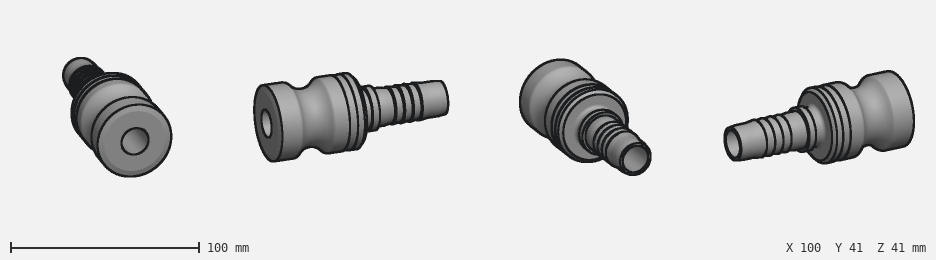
import cadquery as cq
import math

length = 100.0
bore_diameter = 15.0

tip_radius = 18.0 / 2
tail_radius = 19.0 / 2
barb_radius = 20.5 / 2
tip_taper_end = 4.0
first_barb_start = 10.0
barb_pitch = 5.0
barb_count = 4
barb_back_length = 0.5
collar_start = 40.0
collar_end = 44.0
collar_radius = 24.0 / 2

neck_radius = 21.5 / 2
neck_fillet = 2.0

head_start = 50.0
head_radius = 41.0 / 2
head_chamfer = 2.0
band_start = 55.8
band_end = 60.4
band_radius = 40.5 / 2
end_chamfer_length = 1.0
end_chamfer_depth = 3.5

groove_center = 78.0
waist_radius = 15.7
groove_arc_radius = 11.0
shoulder_radius = 2.4


def add_barbs(profile):
    """Each barb rises in a cone toward the head, then drops steeply."""
    for i in range(barb_count):
        peak = first_barb_start + (i + 1) * barb_pitch
        profile = profile.lineTo(peak, barb_radius)
        profile = profile.lineTo(peak + barb_back_length, tail_radius)
    land_start = first_barb_start + (barb_count + 1) * barb_pitch
    return profile.lineTo(land_start, barb_radius)


def add_cam_groove(profile):
    """Concave arc tangent to a convex shoulder arc on each side."""
    arc_center_r = waist_radius + groove_arc_radius
    shoulder_center_r = head_radius - shoulder_radius
    center_distance = groove_arc_radius + shoulder_radius
    center_rise = arc_center_r - shoulder_center_r
    half_width = math.sqrt(center_distance**2 - center_rise**2)
    angle = math.asin(half_width / center_distance)

    tangent_x = groove_arc_radius * math.sin(angle)
    tangent_r = arc_center_r - groove_arc_radius * math.cos(angle)
    shoulder_mid_x = half_width - shoulder_radius * math.sin(angle / 2)
    shoulder_mid_r = shoulder_center_r + shoulder_radius * math.cos(angle / 2)

    return (
        profile.lineTo(groove_center - half_width, head_radius)
        .threePointArc(
            (groove_center - shoulder_mid_x, shoulder_mid_r),
            (groove_center - tangent_x, tangent_r),
        )
        .threePointArc((groove_center, waist_radius), (groove_center + tangent_x, tangent_r))
        .threePointArc(
            (groove_center + shoulder_mid_x, shoulder_mid_r),
            (groove_center + half_width, head_radius),
        )
    )


outline = (
    cq.Workplane("XY")
    .moveTo(0, 0)
    .lineTo(0, tip_radius)
    .lineTo(tip_taper_end, tail_radius)
    .lineTo(first_barb_start, tail_radius)
)
outline = add_barbs(outline)

outline = (
    outline.lineTo(collar_start, barb_radius)
    .lineTo(collar_start, collar_radius)
    .lineTo(collar_end, collar_radius)
    .lineTo(collar_end, neck_radius)
    .lineTo(head_start - neck_fillet, neck_radius)
    .radiusArc((head_start, neck_radius + neck_fillet), -neck_fillet)
)

outline = (
    outline.lineTo(head_start, head_radius - head_chamfer)
    .lineTo(head_start + head_chamfer, head_radius)
    .lineTo(band_start, head_radius)
    .lineTo(band_start, band_radius)
    .lineTo(band_end, band_radius)
    .lineTo(band_end, head_radius)
)
outline = add_cam_groove(outline)
outline = (
    outline.lineTo(length - end_chamfer_length, head_radius)
    .lineTo(length, head_radius - end_chamfer_depth)
    .lineTo(length, 0)
    .close()
)

body = outline.revolve(360, (0, 0, 0), (1, 0, 0))
bore = cq.Workplane("YZ").circle(bore_diameter / 2).extrude(length)
result = body.cut(bore)